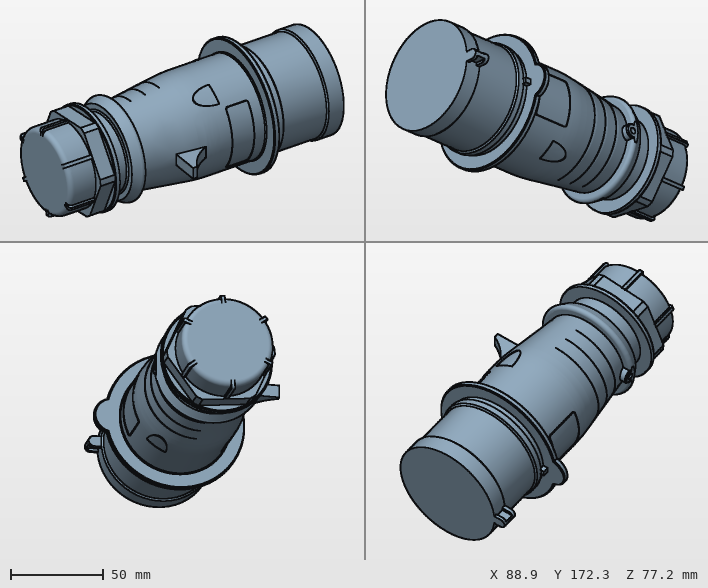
import cadquery as cq
import math

LENGTH = 172.3
FAR = 103.4

BODY_R = 30.5
RIM_R = 31.5
RIM_Y = 162.6
COLLAR_BACK_Y = 134.2
COLLAR_FRONT_Y = 129.9
EDGE = 0.9

FLANGE_R = 38.6
FLANGE_BACK_Y = 126.5
FLANGE_FRONT_Y = 123.0
FLANGE_EDGE = 0.5
LOBE_R = 9.8
LOBE_TIP_X = -44.6

TAPER_START_Y = 93.7
CONE_START_Y = 80.6
CONE_END_Y = 46.3
CONE_SLOPE = 0.13
BLEND_DROP = CONE_SLOPE * (TAPER_START_Y - CONE_START_Y) / 2
CONE_START_R = BODY_R - BLEND_DROP
GROOVES_Y = (73.9, 64.8, 55.6)
GROOVE_DEPTH = 0.28

BEAD_R = 30.3
BEAD_CREST_Y = 44.1
BEAD_ROUND_END_Y = 43.0
BEAD_END_R = 27.4
BEAD_END_Y = 38.6
EYELET_FACE_X = -29.6
EYELET_R = 4.3
EYELET_HOLE_R = 1.7
EYELET_HOLE_DEPTH = 3.5
EYELET_LENGTH = 10.3
EYELET_EDGE = 0.7
EYELET_Y = CONE_END_Y

NECK_R = 23.3
WASHER_R = 30.7
WASHER_BACK_Y = 28.8
WASHER_FRONT_Y = 26.4
NUT_APOTHEM = 26.9
NUT_CORNER_R = 30.0
NUT_RING_Y = 26.0
NUT_FRONT_Y = 16.7
NUT_TURN = 6.5
CAP_R = 25.3
CAP_FILLET = 3.0
RIB_R = 26.7
RIB_WIDTH = 2.0
RIB_FILLET = 1.4

RECESS_DEPTH = 0.43
RECESS_CORNER = 1.2
LEFT_LABEL = (93.9, 116.5, 13.8)
RIGHT_LABEL = (101.3, 115.5, 19.1)

SHIELD_ANGLE = 56.5
SHIELD_WIDTH = 12.4
SHIELD_BACK_Y = 98.4
SHIELD_TIP_Y = 85.1
SHIELD_R = 30.7
SHIELD_INNER_X = 24.1

HOOK_HALF_WIDTH = 3.5
HOOK_TIP_X = 44.3
HOOK_FRONT_Y = 66.8
HOOK_TIP_Y = 69.6
HOOK_ROOT_Y = 84.4
HOOK_MID = (35.5, 76.0)
HOOK_INNER_X = 17.2

LUG_TIP_X = -38.5
LUG_HALF_WIDTH = 3.0
LUG_WAIST_HALF_WIDTH = 1.4
LUG_WAIST = (165.0, 170.4)
STOP_TIP_X = -33.5
STOP_HALF_WIDTH = 1.5
INNER_X = -25.8


def box(x0, x1, y0, y1, z0, z1):
    return cq.Workplane("XY").box(x1 - x0, y1 - y0, z1 - z0, centered=False).translate((x0, y0, z0))


def along_y(y0):
    """Sketch plane at Y = y0 whose extrusion goes towards +Y; local x is -X, local y is Z."""
    return cq.Workplane(cq.Plane(origin=(0, y0, 0), xDir=(-1, 0, 0), normal=(0, 1, 0)))


def turn(solid, angle):
    """Rotate about the plug axis from +X towards +Z."""
    return solid.rotate((0, 0, 0), (0, 1, 0), -angle)


def cone_radius(y):
    return CONE_START_R - CONE_SLOPE * (CONE_START_Y - y)


def make_turned_body():
    blend_mid_y = (TAPER_START_Y + CONE_START_Y) / 2
    blend_mid_r = BODY_R - BLEND_DROP / 4
    bead_top_r = BEAD_R - (CONE_END_Y - BEAD_CREST_Y)
    profile = (
        cq.Workplane("XY")
        .moveTo(0, LENGTH)
        .lineTo(RIM_R, LENGTH)
        .lineTo(RIM_R, RIM_Y)
        .lineTo(BODY_R, RIM_Y - EDGE)
        .lineTo(BODY_R, COLLAR_BACK_Y)
        .lineTo(RIM_R, COLLAR_BACK_Y - EDGE)
        .lineTo(RIM_R, COLLAR_FRONT_Y)
        .lineTo(BODY_R, COLLAR_FRONT_Y)
        .lineTo(BODY_R, FLANGE_FRONT_Y)
        .lineTo(BODY_R + EDGE / 2, FLANGE_FRONT_Y)
        .lineTo(BODY_R, FLANGE_FRONT_Y - EDGE)
        .lineTo(BODY_R, TAPER_START_Y)
        .threePointArc((blend_mid_r, blend_mid_y), (CONE_START_R, CONE_START_Y))
        .lineTo(cone_radius(CONE_END_Y), CONE_END_Y)
        .lineTo(bead_top_r, CONE_END_Y)
        .threePointArc((BEAD_R, BEAD_CREST_Y), (BEAD_R - EDGE / 2, BEAD_ROUND_END_Y))
        .lineTo(BEAD_END_R, BEAD_END_Y)
        .lineTo(NECK_R + EDGE, BEAD_END_Y)
        .lineTo(NECK_R, BEAD_END_Y - EDGE)
        .lineTo(NECK_R, WASHER_BACK_Y)
        .lineTo(WASHER_R, WASHER_BACK_Y)
        .lineTo(WASHER_R, WASHER_FRONT_Y)
        .lineTo(0, WASHER_FRONT_Y)
        .close()
    )
    return profile.revolve(360, (0, 0, 0), (0, 1, 0))


def bevelled_disc(x, radius):
    disc = along_y(FLANGE_FRONT_Y).center(-x, 0).circle(radius).extrude(FLANGE_BACK_Y - FLANGE_FRONT_Y)
    return disc.edges().chamfer(FLANGE_EDGE)


def make_flange():
    return bevelled_disc(0, FLANGE_R).union(bevelled_disc(LOBE_TIP_X + LOBE_R, LOBE_R))


def make_nut():
    height = WASHER_FRONT_Y - NUT_FRONT_Y
    corner_diameter = 2 * NUT_APOTHEM / math.cos(math.radians(30))
    hexagon = along_y(NUT_FRONT_Y).polygon(6, corner_diameter).extrude(height)
    corners = along_y(NUT_FRONT_Y).circle(NUT_CORNER_R).extrude(height)
    ring = along_y(NUT_RING_Y).circle(NUT_CORNER_R).extrude(WASHER_FRONT_Y - NUT_RING_Y)
    return turn(hexagon.intersect(corners).union(ring), NUT_TURN)


def make_cap():
    cap = along_y(0).circle(CAP_R).extrude(WASHER_FRONT_Y).faces("<Y").edges().fillet(CAP_FILLET)
    rib = box(0, RIB_R, 0, NUT_FRONT_Y, -RIB_WIDTH / 2, RIB_WIDTH / 2)
    rib = rib.faces("<Y").edges(">X").fillet(RIB_FILLET)
    for i in range(6):
        cap = cap.union(turn(rib, 90 + NUT_TURN + 60 * i))
    return cap


def make_groove(y):
    """Crescent step on the -X half: a cylinder set off towards +X leaves a groove fading out at X = 0."""
    length = 2 * GROOVE_DEPTH / CONE_SLOPE
    ring = along_y(y - length).circle(FAR).extrude(length)
    core = along_y(y - length).center(-GROOVE_DEPTH, 0).circle(cone_radius(y)).extrude(length)
    half = box(-FAR, 0, 0, LENGTH, -FAR, FAR)
    return ring.cut(core).intersect(half)


def make_recess(label, side):
    """Shallow curved pocket; side is -1 for the -X side and 1 for the +X side."""
    y0, y1, half_height = label
    outline = box(0, FAR, y0, y1, -half_height, half_height).edges("|X").fillet(RECESS_CORNER)
    core = along_y(y0).circle(BODY_R - RECESS_DEPTH).extrude(y1 - y0)
    pocket = outline.cut(core)
    return pocket if side > 0 else turn(pocket, 180)


def make_shield():
    """Raised half-ellipse with its rounded tip towards the gland, built facing +X."""
    length = SHIELD_BACK_Y - SHIELD_TIP_Y
    outline = (
        cq.Workplane("YZ", origin=(SHIELD_INNER_X, SHIELD_BACK_Y, 0))
        .ellipse(length, SHIELD_WIDTH / 2)
        .extrude(FAR)
    )
    surface = along_y(SHIELD_TIP_Y).circle(SHIELD_R).extrude(length)
    return outline.intersect(surface)


def make_hook():
    return (
        cq.Workplane("XY")
        .moveTo(HOOK_INNER_X, HOOK_FRONT_Y)
        .lineTo(HOOK_TIP_X, HOOK_FRONT_Y)
        .lineTo(HOOK_TIP_X, HOOK_TIP_Y)
        .threePointArc(HOOK_MID, (cone_radius(HOOK_ROOT_Y), HOOK_ROOT_Y))
        .lineTo(HOOK_INNER_X, HOOK_ROOT_Y)
        .close()
        .extrude(HOOK_HALF_WIDTH, both=True)
    )


def make_lug():
    lug = box(LUG_TIP_X + LUG_HALF_WIDTH, INNER_X, RIM_Y, LENGTH, -LUG_HALF_WIDTH, LUG_HALF_WIDTH)
    tip_center = -(LUG_TIP_X + LUG_HALF_WIDTH)
    tip = along_y(RIM_Y).center(tip_center, 0).circle(LUG_HALF_WIDTH).extrude(LENGTH - RIM_Y)
    lug = lug.union(tip)
    for z0, z1 in ((LUG_WAIST_HALF_WIDTH, FAR), (-FAR, -LUG_WAIST_HALF_WIDTH)):
        lug = lug.cut(box(-FAR, 0, *LUG_WAIST, z0, z1))
    return lug


def make_stop():
    return box(STOP_TIP_X, INNER_X, FLANGE_BACK_Y, COLLAR_FRONT_Y, -STOP_HALF_WIDTH, STOP_HALF_WIDTH)


def eyelet_pin(radius, depth):
    face = cq.Workplane("YZ", origin=(EYELET_FACE_X, EYELET_Y, 0))
    return face.circle(radius).extrude(depth)


body = make_turned_body()
for groove_y in GROOVES_Y:
    body = body.cut(make_groove(groove_y))
body = body.cut(make_recess(LEFT_LABEL, -1)).cut(make_recess(RIGHT_LABEL, 1))

body = body.cut(box(-FAR, EYELET_FACE_X, BEAD_END_Y, EYELET_Y, -FAR, FAR))
eyelet = eyelet_pin(EYELET_R, EYELET_LENGTH).faces("<X").edges().chamfer(EYELET_EDGE)
body = body.union(eyelet).cut(eyelet_pin(EYELET_HOLE_R, EYELET_HOLE_DEPTH))

shield = make_shield()
for angle in (SHIELD_ANGLE, SHIELD_ANGLE + 180):
    body = body.union(turn(shield, angle))

for part in (make_flange(), make_nut(), make_cap(), make_hook(), make_lug(), make_stop()):
    body = body.union(part)

result = body